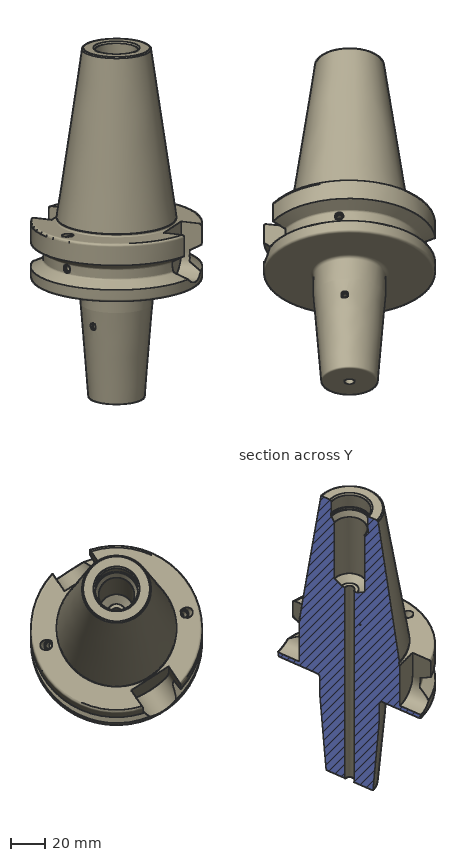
import math
import cadquery as cq


gauge_diameter = 69.85
taper_length = 101.8
taper_slope = 7 / 48
taper_bottom = -1.0
shank_chamfer = 0.75
relief_depth = 0.5
relief_fillet = 0.8

flange_diameter = 100.0
flange_top = -3.0
flange_bottom = -38.0
flange_edge_fillet = 1.5
groove_center = -23.2
groove_floor_diameter = 85.5
groove_floor_width = 6.5
groove_wall_angle = 30.0
groove_corner_fillet = 1.0

slot_width = 26.0
slot_floor_distance = 35.4
slot_depth = 31.5

nose_tip = -110.0
neck_diameter = 42.0
neck_bottom = -53.0
neck_fillet = 2.0
nose_angle = 4.5
tip_fillet = 1.0

pilot_diameter = 25.0
pilot_chamfer = 1.0
pilot_depth = 10.5
undercut_diameter = 26.0
undercut_width = 2.0
thread_core_diameter = 20.8
thread_core_depth = 60.0
lead_in_angle = 30.0
drill_point_angle = 59.0
channel_mouth_diameter = 10.7
channel_diameter = 6.0

hole_azimuth = 70.0
coolant_hole_radius = 42.0
coolant_hole_tilt = 30.0
coolant_hole_diameter = 6.2
coolant_hole_depth = 3.0
groove_hole_diameter = 5.0
groove_hole_depth = 1.5
nose_hole_diameter = 4.2
nose_hole_height = -63.0
nose_hole_depth = 1.5
hole_core_ratio = 0.65
hole_core_extra_depth = 4.0


def direction(degrees):
    """Unit vector in the profile plane, counted from the outward radius."""
    return cq.Vector(math.cos(math.radians(degrees)), math.sin(math.radians(degrees)))


def fillet_arc(sketch, center, radius, start, end):
    """Line to the start of an arc and follow it; the angles are in degrees."""
    first, middle, last = (center + direction(a) * radius for a in (start, (start + end) / 2, end))
    return sketch.lineTo(first.x, first.y).threePointArc((middle.x, middle.y), (last.x, last.y))


def revolve_profile(sketch):
    """Close a profile drawn as (radius, height) and turn it about Z."""
    return sketch.close().revolve(360, (0, 0, 0), (0, 1, 0))


def make_shank_and_flange():
    """Taper shank on the flange, with a small relief where they meet."""
    shank_radius = gauge_diameter / 2 - taper_slope * taper_length
    taper_foot = gauge_diameter / 2 - taper_slope * taper_bottom
    relief_radius = taper_foot - relief_depth
    flange_radius = flange_diameter / 2
    fillet_radius = flange_radius - flange_edge_fillet
    profile = (
        cq.Workplane("XZ")
        .moveTo(0, taper_length)
        .lineTo(shank_radius - shank_chamfer, taper_length)
        .lineTo(shank_radius + taper_slope * shank_chamfer, taper_length - shank_chamfer)
        .lineTo(taper_foot, taper_bottom)
        .lineTo(relief_radius, taper_bottom - relief_depth)
    )
    relief_center = cq.Vector(relief_radius + relief_fillet, flange_top + relief_fillet)
    profile = fillet_arc(profile, relief_center, relief_fillet, 180, 270)
    top_center = cq.Vector(fillet_radius, flange_top - flange_edge_fillet)
    profile = fillet_arc(profile, top_center, flange_edge_fillet, 90, 0)
    bottom_center = cq.Vector(fillet_radius, flange_bottom + flange_edge_fillet)
    profile = fillet_arc(profile, bottom_center, flange_edge_fillet, 0, -90)
    return revolve_profile(profile.lineTo(0, flange_bottom))


def nose_radius_at(height):
    """Radius of the nose cone at a height below the neck."""
    return neck_diameter / 2 - (neck_bottom - height) * math.tan(math.radians(nose_angle))


def make_nose():
    """Neck and tapered nose, with a fillet under the flange and a rounded tip."""
    neck_radius = neck_diameter / 2
    tip_radius = nose_radius_at(nose_tip)
    tip_tangent = math.tan(math.radians((90 - nose_angle) / 2))
    neck_center = cq.Vector(neck_radius + neck_fillet, flange_bottom - neck_fillet)
    profile = cq.Workplane("XZ").moveTo(0, flange_bottom)
    profile = fillet_arc(profile, neck_center, neck_fillet, 90, 180)
    profile = profile.lineTo(neck_radius, neck_bottom)
    tip_center = cq.Vector(tip_radius - tip_fillet * tip_tangent, nose_tip + tip_fillet)
    profile = fillet_arc(profile, tip_center, tip_fillet, -nose_angle, -90)
    return revolve_profile(profile.lineTo(0, nose_tip))


def make_groove():
    """Ring with the V section of the gripper groove."""
    floor_radius = groove_floor_diameter / 2
    half_floor = groove_floor_width / 2
    rim_radius = flange_diameter / 2
    half_rim = half_floor + (rim_radius - floor_radius) * math.tan(math.radians(groove_wall_angle))
    section = [
        (rim_radius, groove_center + half_rim),
        (floor_radius, groove_center + half_floor),
        (floor_radius, groove_center - half_floor),
        (rim_radius, groove_center - half_rim),
    ]
    ring = revolve_profile(cq.Workplane("XZ").polyline(section))
    inner_edges = cq.selectors.RadiusNthSelector(0)
    return ring.edges(inner_edges).fillet(groove_corner_fillet)


def make_bore():
    """Pilot, thread core and coolant channel, running from the shank end to the nose tip."""
    pilot_radius = pilot_diameter / 2
    core_radius = thread_core_diameter / 2
    mouth_radius = channel_mouth_diameter / 2
    channel_radius = channel_diameter / 2
    pilot_bottom = taper_length - pilot_depth
    core_bottom = taper_length - thread_core_depth
    undercut_radius = undercut_diameter / 2
    undercut_bottom = pilot_bottom - undercut_width
    lead_in_height = (pilot_radius - core_radius) / math.tan(math.radians(lead_in_angle))
    point_height = (core_radius - mouth_radius) / math.tan(math.radians(drill_point_angle))
    profile = (
        cq.Workplane("XZ")
        .moveTo(0, taper_length)
        .lineTo(pilot_radius + pilot_chamfer, taper_length)
        .lineTo(pilot_radius, taper_length - pilot_chamfer)
        .lineTo(pilot_radius, pilot_bottom)
        .lineTo(undercut_radius, pilot_bottom)
        .lineTo(undercut_radius, undercut_bottom)
        .lineTo(pilot_radius, undercut_bottom)
        .lineTo(core_radius, undercut_bottom - lead_in_height)
        .lineTo(core_radius, core_bottom)
        .lineTo(mouth_radius, core_bottom - point_height)
        .lineTo(channel_radius, core_bottom - point_height)
        .lineTo(channel_radius, nose_tip)
        .lineTo(0, nose_tip)
    )
    return revolve_profile(profile)


def make_slot(side):
    """Drive slot with a round lower end; side is +1 or -1 along X."""
    slot_radius = slot_width / 2
    slot_bottom = flange_top - slot_depth
    arc_height = slot_bottom + slot_radius
    return (
        cq.Workplane("YZ")
        .workplane(offset=side * slot_floor_distance)
        .moveTo(-slot_radius, 0)
        .lineTo(-slot_radius, arc_height)
        .threePointArc((0, slot_bottom), (slot_radius, arc_height))
        .lineTo(slot_radius, 0)
        .close()
        .extrude(side * flange_diameter / 2)
    )


def make_stepped_hole(azimuth, radius, height, elevation, diameter, depth):
    """Blind hole with a narrower core; elevation is the angle of its axis above the horizontal."""
    axis = direction(elevation)
    outward = direction(azimuth)
    mouth = outward * radius + cq.Vector(0, 0, height)
    outlet = outward * axis.x + cq.Vector(0, 0, axis.y)
    wide = cq.Solid.makeCylinder(diameter / 2, 2 * depth, mouth - outlet * depth, outlet)
    core_radius = hole_core_ratio * diameter / 2
    core_depth = depth + hole_core_extra_depth
    core = cq.Solid.makeCylinder(core_radius, core_depth, mouth - outlet * core_depth, outlet)
    return cq.Workplane(wide.fuse(core))


def make_small_holes(azimuth):
    """Coolant hole in the flange face, and radial holes in the groove floor and the nose."""
    coolant = make_stepped_hole(azimuth, coolant_hole_radius, flange_top, 90 - coolant_hole_tilt,
                                coolant_hole_diameter, coolant_hole_depth)
    groove = make_stepped_hole(azimuth, groove_floor_diameter / 2, groove_center, 0,
                               groove_hole_diameter, groove_hole_depth)
    nose = make_stepped_hole(azimuth, nose_radius_at(nose_hole_height), nose_hole_height, 0,
                             nose_hole_diameter, nose_hole_depth)
    return [coolant, groove, nose]


result = make_shank_and_flange().union(make_nose()).cut(make_groove()).cut(make_bore())
for side in (1, -1):
    result = result.cut(make_slot(side))
for azimuth in (hole_azimuth, hole_azimuth + 180):
    for hole in make_small_holes(azimuth):
        result = result.cut(hole)